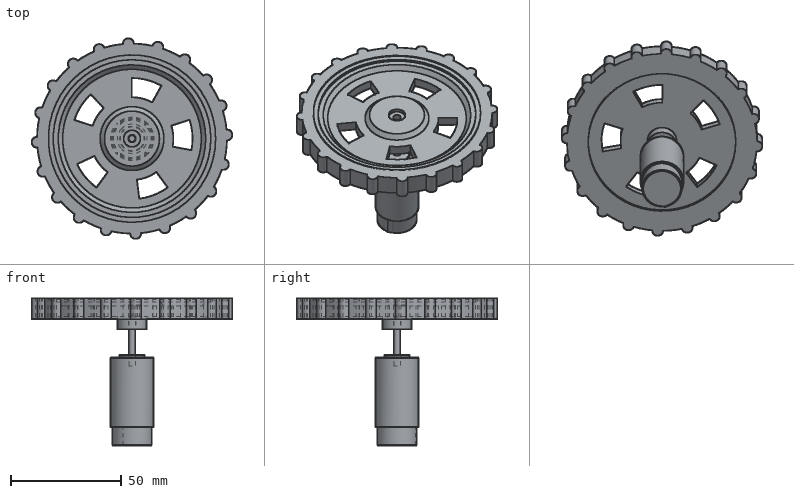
import cadquery as cq
import math

rim_height = 9.5
rim_radius = 43.2
knob_count = 20
knob_radius = 2.5
knob_circle_radius = 43.127
first_knob_angle = 2.2

step_radius = 38.0
step_depth = 0.5
ledge_radius = 35.8
ledge_depth = 1.5
dish_top_radius = 33.5
slope_run = 2.0
floor_depth = ledge_depth + slope_run
dish_floor_radius = dish_top_radius - slope_run
hub_base_radius = 14.5
hub_top_radius = hub_base_radius - slope_run

web_thickness = 4.6
underside_radius = dish_top_radius
underside_depth = rim_height - floor_depth - web_thickness

window_count = 5
window_inner_radius = 18.85
window_outer_radius = 27.45
window_start_angle = 61.0
window_end_angle = 90.0

boss_radius = 6.7
boss_length = 4.7
boss_end = rim_height + boss_length
bore_radius = 1.7
counterbore_radius = 3.8
counterbore_depth = 1.5

shaft_radius = 1.5
shaft_top_depth = 8.0
shaft_insertion = 5.0

collar_radius = 5.7
collar_top_depth = 25.6
gearbox_radius = 9.85
gearbox_top_depth = 26.9
gearbox_bottom_depth = 58.7
motor_radius = 9.0
motor_bottom_depth = 67.11
edge_chamfer = 0.3
motor_chamfer = 0.5
ridge_start_angle = 131.4
ridge_end_angle = 102.0


def cylinder(radius, top_depth, bottom_depth):
    """Upright cylinder on the Z axis between two depths below Z = 0."""
    return cq.Workplane("XY").workplane(offset=-bottom_depth).circle(radius).extrude(bottom_depth - top_depth)


def polar_point(radius, angle):
    """Point at an angle in degrees on a circle around the Z axis."""
    return radius * math.cos(math.radians(angle)), radius * math.sin(math.radians(angle))


def wheel_disc():
    """Revolved wheel: stepped rim, dished web, raised hub and lower boss."""
    profile = (
        cq.Workplane("XZ")
        .moveTo(0, -ledge_depth)
        .lineTo(hub_top_radius, -ledge_depth)
        .lineTo(hub_base_radius, -floor_depth)
        .lineTo(dish_floor_radius, -floor_depth)
        .lineTo(dish_top_radius, -ledge_depth)
        .lineTo(ledge_radius, -ledge_depth)
        .lineTo(ledge_radius, -step_depth)
        .lineTo(step_radius, -step_depth)
        .lineTo(step_radius, 0)
        .lineTo(rim_radius, 0)
        .lineTo(rim_radius, -rim_height)
        .lineTo(underside_radius, -rim_height)
        .lineTo(underside_radius, -rim_height + underside_depth)
        .lineTo(boss_radius, -rim_height + underside_depth)
        .lineTo(boss_radius, -boss_end)
        .lineTo(0, -boss_end)
        .close()
    )
    return profile.revolve(360, (0, 0, 0), (0, 1, 0))


def rim_knobs():
    """Round grip knobs spaced evenly around the rim."""
    centers = [
        polar_point(knob_circle_radius, first_knob_angle + i * 360 / knob_count)
        for i in range(knob_count)
    ]
    return (
        cq.Workplane("XY")
        .workplane(offset=-rim_height)
        .pushPoints(centers)
        .circle(knob_radius)
        .extrude(rim_height)
    )


def web_window(turn):
    """Cutter for one ring-sector window, turned about the Z axis."""
    start = window_start_angle + turn
    end = window_end_angle + turn
    middle = (start + end) / 2
    return (
        cq.Workplane("XY")
        .workplane(offset=-rim_height)
        .moveTo(*polar_point(window_inner_radius, start))
        .lineTo(*polar_point(window_outer_radius, start))
        .threePointArc(polar_point(window_outer_radius, middle), polar_point(window_outer_radius, end))
        .lineTo(*polar_point(window_inner_radius, end))
        .threePointArc(polar_point(window_inner_radius, middle), polar_point(window_inner_radius, start))
        .close()
        .extrude(rim_height)
    )


def make_wheel():
    """Complete wheel with grip knobs, windows, counterbore and shaft bore."""
    wheel = wheel_disc().union(rim_knobs())
    for i in range(window_count):
        wheel = wheel.cut(web_window(i * 360 / window_count))
    counterbore = cylinder(counterbore_radius, ledge_depth, ledge_depth + counterbore_depth)
    bore = cylinder(bore_radius, ledge_depth, boss_end)
    return wheel.cut(counterbore).cut(bore)


def make_shaft():
    """Shaft from inside the wheel bore down into the gearbox."""
    return cylinder(shaft_radius, shaft_top_depth, collar_top_depth + shaft_insertion)


def make_gearbox():
    """Gearbox cylinder with a front collar and a blind hole for the shaft."""
    case = cylinder(gearbox_radius, gearbox_top_depth, gearbox_bottom_depth)
    case = case.faces("<Z or >Z").chamfer(edge_chamfer)
    collar = cylinder(collar_radius, collar_top_depth, gearbox_top_depth)
    collar = collar.faces(">Z").chamfer(edge_chamfer)
    shaft_hole = cylinder(shaft_radius, collar_top_depth, collar_top_depth + shaft_insertion)
    return case.union(collar).cut(shaft_hole)


def motor_ridge():
    """Shallow lengthwise ridge where two planes tangent to the can meet."""
    half_angle = (ridge_start_angle - ridge_end_angle) / 2
    crest_angle = ridge_end_angle + half_angle
    crest_radius = motor_radius / math.cos(math.radians(half_angle))
    return (
        cq.Workplane("XY")
        .workplane(offset=-motor_bottom_depth)
        .lineTo(*polar_point(motor_radius, ridge_start_angle))
        .lineTo(*polar_point(crest_radius, crest_angle))
        .lineTo(*polar_point(motor_radius, ridge_end_angle))
        .close()
        .extrude(motor_bottom_depth - gearbox_bottom_depth)
    )


def make_motor():
    """Motor can with one shallow ridge and a chamfered lower end."""
    can = cylinder(motor_radius, gearbox_bottom_depth, motor_bottom_depth)
    return can.union(motor_ridge()).faces("<Z").chamfer(motor_chamfer)


wheel = make_wheel()
shaft = make_shaft()
gearbox = make_gearbox()
motor = make_motor()
result = cq.Compound.makeCompound([wheel.val(), shaft.val(), gearbox.val(), motor.val()])